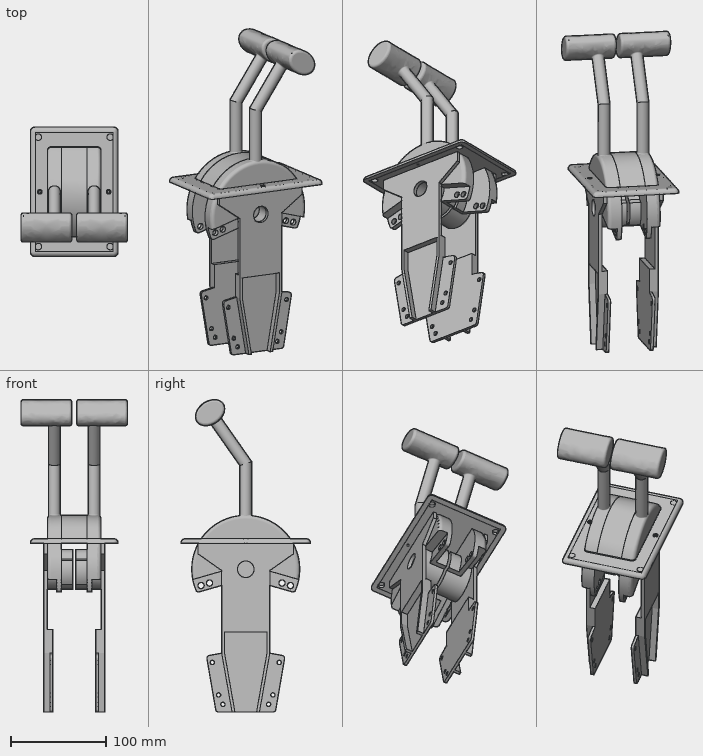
import cadquery as cq
import math

SIDES = (-1, 1)

rotor_radius = 56.8
rotor_inner = 13.5
rotor_outer = 28.2
rotor_edge_fillet = 4.0
flange_thickness = 5.0
sector_slope = math.radians(16)
sector_apex = 5.3
flange_apex = -10.0
lug_apex = 16.0
lug_radius = 26.0
flange_corner_fillet = 3.3
cable_hole_diameter = 6.2
cable_holes = [(47.0, -17.0), (38.0, -14.5)]
hub_radius = 21.0
hub_gap = 3.0
pivot_bore_diameter = 17.5

rod_radius = 6.4
rod_offset = (rotor_inner + rotor_outer) / 2
rod_start = 42.7
rod_base_fillet = 0.82
bend_height = 111.0
bend_angle = 35
grip_reach = 37.5
grip_major = 16.7
grip_minor = 12.0
grip_outer = 55.97
grip_length = 53.5
grip_edge_fillet = 2.5
grip_root_fillet = 1.3

plate_width = 92.2
plate_depth = 136.2
plate_thickness = 5.0
plate_top = 32.2
plate_bottom = plate_top - plate_thickness
plate_corner_radius = 5.0
plate_edge_fillet = 4.5
plate_skin = 1.0
plate_rim = 5.5
screw_x = 36.0
screw_diameter = 5.0

core_hole_diameter = 7.0
core_hole_x = 37.7
core_hole_y = 57.5
pilot_diameter = 2.3

bracket_outer = 32.2
yoke_half_width = 50.0
yoke_bottom = 16.0
neck_half_width = 25.3
neck_top = -1.3
bracket_bottom = -150.0

sheet = 3.0
foot_inner = 22.3
foot_top = -63.0
foot_bend = -88.0
foot_taper = math.radians(10)
ear_top_corner = (41.5, -91.0)
ear_bottom_half_width = 31.2
ear_fillet = 3.3
ear_hole_diameter = 4.3
ear_holes = [(35.0, -97.8), (28.5, -132.0), (24.0, -141.8)]


def slab(side, near, far, outline):
    """Extrude a YZ outline between two distances from the mid-plane, on one side."""
    plane = cq.Plane(origin=(side * near, 0, 0), xDir=(0, 1, 0), normal=(1, 0, 0))
    return outline(cq.Workplane(plane)).extrude(side * (far - near))


def symmetric_polygon(half_points):
    """Closed outline from the points of its +Y half, listed from top to bottom."""
    mirrored = [(-y, z) for y, z in reversed(half_points) if y > 0]
    return lambda plane: plane.polyline(half_points + mirrored).close()


def circles(points, diameter):
    """Outline made of equal circles."""
    return lambda plane: plane.pushPoints(points).circle(diameter / 2)


def disc(side, near, far, radius):
    """Round slab about the pivot axis."""
    return slab(side, near, far, circles([(0, 0)], 2 * radius))


def below(height):
    """Selector for what has its centre below a height."""
    reach = 2 * plate_depth
    return cq.selectors.BoxSelector((-reach, -reach, -reach), (reach, reach, height))


def both_ways(points):
    """The points together with their mirror images about Y = 0."""
    return points + [(-y, z) for y, z in points]


def sector(side, near, far, radius, low_apex, high_apex=2 * rotor_radius):
    """Disc slab kept between two chevrons whose arms slope down from their apex heights."""
    drop = radius * math.tan(sector_slope)
    chevron = [(0, high_apex), (radius, high_apex - drop), (radius, low_apex - drop), (0, low_apex)]
    return disc(side, near, far, radius).intersect(slab(side, near, far, symmetric_polygon(chevron)))


def make_rotor(side):
    """Sector disc with its flange, hub and hub lugs."""
    flange_face = rotor_inner + flange_thickness
    hub_end = hub_gap / 2

    outer_face = ">X" if side > 0 else "<X"
    rounded = disc(side, rotor_inner, rotor_outer, rotor_radius)
    rounded = rounded.faces(outer_face).edges().fillet(rotor_edge_fillet)
    rotor = rounded.intersect(sector(side, rotor_inner, rotor_outer, rotor_radius, sector_apex))

    flange = sector(side, rotor_inner, flange_face, rotor_radius, flange_apex)
    flange = flange.edges("|X").edges(below(flange_apex - 3.3)).fillet(flange_corner_fillet)
    holes = slab(side, rotor_inner, rotor_outer, circles(both_ways(cable_holes), cable_hole_diameter))
    rotor = rotor.union(flange).cut(holes)

    lugs = sector(side, hub_end, rotor_inner, lug_radius, flange_apex, lug_apex)
    hub = disc(side, hub_end, rotor_outer, hub_radius)
    bore = disc(side, rotor_inner, rotor_outer, pivot_bore_diameter / 2)
    return rotor.union(lugs).union(hub).cut(bore)


def box_around(centre, half_size):
    """Selector for what has its centre in a cube around a point."""
    low = [value - half_size for value in centre]
    high = [value + half_size for value in centre]
    return cq.selectors.BoxSelector(low, high)


def make_lever(side):
    """Rotor, bent rod and grip in one piece, blended where the rod meets the other two."""
    rod_x = side * rod_offset
    tilt = math.radians(bend_angle)
    grip_height = bend_height + grip_reach / math.tan(tilt)
    axis = [(0, rod_start), (0, bend_height), (-grip_reach, grip_height)]
    path = cq.Workplane("YZ", origin=(rod_x, 0, 0)).polyline(axis)
    rod_end = cq.Workplane("XY", origin=(rod_x, 0, rod_start)).circle(rod_radius)
    rod = rod_end.sweep(path, transition="right")

    grip_start = (side * (grip_outer - grip_length), -grip_reach, grip_height)
    grip_plane = cq.Plane(origin=grip_start, xDir=(0, 1, 0), normal=(1, 0, 0)).rotated((0, 0, bend_angle))
    grip = cq.Workplane(grip_plane).ellipse(grip_major, grip_minor).extrude(side * grip_length)
    grip = grip.faces("<X or >X").edges().fillet(grip_edge_fillet)

    lever = make_rotor(side).union(rod).union(grip)
    grip_root = (
        rod_x,
        -grip_reach + grip_minor * math.sin(tilt),
        grip_height - grip_minor * math.cos(tilt),
    )
    lever = lever.edges(box_around(grip_root, rod_radius)).fillet(grip_root_fillet)
    return lever.edges(box_around((rod_x, 0, rotor_radius), rod_radius)).fillet(rod_base_fillet)


def tray_hollow():
    """The space under the bezel's skin, inside its rim."""
    underside = cq.Workplane("XY", origin=(0, 0, plate_bottom))
    hollow = underside.rect(plate_width - 2 * plate_rim, plate_depth - 2 * plate_rim)
    return hollow.extrude(plate_thickness - plate_skin)


def screw_holes(diameter):
    """Cylinders that cut one screw hole on each side of the plate."""
    points = [(side * screw_x, 0) for side in SIDES]
    underside = cq.Workplane("XY", origin=(0, 0, plate_bottom))
    return underside.pushPoints(points).circle(diameter / 2).extrude(plate_thickness)


def make_bezel(core, levers):
    """Tray with rounded edges, opened to fit closely around the levers and the dome."""
    bezel = (
        cq.Workplane("XY", origin=(0, 0, plate_bottom))
        .rect(plate_width, plate_depth)
        .extrude(plate_thickness)
        .edges("|Z")
        .fillet(plate_corner_radius)
        .faces(">Z")
        .edges()
        .fillet(plate_edge_fillet)
    )
    bezel = bezel.cut(tray_hollow()).cut(screw_holes(screw_diameter)).cut(core)
    for lever in levers:
        bezel = bezel.cut(lever)
    return bezel


def make_core(levers):
    """Plate inside the bezel, with the dome that closes the gap between the levers."""
    half_width = math.sqrt(rotor_radius**2 - plate_bottom**2)
    dome = (
        cq.Workplane("YZ", origin=(-rotor_inner, 0, 0))
        .moveTo(-half_width, plate_bottom)
        .threePointArc((0, rotor_radius), (half_width, plate_bottom))
        .close()
        .extrude(2 * rotor_inner)
    )
    corner_holes = (
        cq.Workplane("XY", origin=(0, 0, plate_bottom))
        .rect(2 * core_hole_x, 2 * core_hole_y, forConstruction=True)
        .vertices()
        .circle(core_hole_diameter / 2)
        .extrude(plate_thickness)
    )
    core = tray_hollow().cut(corner_holes).cut(screw_holes(pilot_diameter)).union(dome)
    for lever in levers:
        core = core.cut(lever)
    return core


def foot_outline(inset, top):
    """Tapered foot outline, moved inwards by a wall thickness."""
    half_width = neck_half_width - inset
    narrowing = (foot_bend - bracket_bottom) * math.tan(foot_taper)
    bottom_half_width = neck_half_width - inset / math.cos(foot_taper) - narrowing
    bend = foot_bend + inset * math.tan(foot_taper / 2)
    return symmetric_polygon([(half_width, top), (half_width, bend), (bottom_half_width, bracket_bottom)])


def make_bracket(side):
    """Flat panel with a yoke at the top and an offset foot with two ears at the bottom."""
    panel = slab(
        side,
        rotor_outer,
        bracket_outer,
        symmetric_polygon(
            [
                (yoke_half_width, plate_bottom),
                (yoke_half_width, yoke_bottom),
                (neck_half_width, neck_top),
                (neck_half_width, foot_top),
            ]
        ),
    )
    panel = panel.cut(disc(side, rotor_outer, bracket_outer, pivot_bore_diameter / 2))

    foot = slab(side, foot_inner, bracket_outer, foot_outline(0, foot_top))
    foot = foot.cut(slab(side, foot_inner + sheet, bracket_outer, foot_outline(sheet, foot_top - sheet)))

    ears = slab(
        side,
        foot_inner,
        foot_inner + sheet,
        symmetric_polygon(
            [(neck_half_width, foot_bend), ear_top_corner, (ear_bottom_half_width, bracket_bottom)]
        ),
    )
    ears = ears.edges("|X").edges(below(foot_bend - sheet / 2)).fillet(ear_fillet)
    holes = slab(side, foot_inner, foot_inner + sheet, circles(both_ways(ear_holes), ear_hole_diameter))
    ears = ears.cut(holes)
    return panel.union(foot).union(ears)


levers = [make_lever(side) for side in SIDES]
brackets = [make_bracket(side) for side in SIDES]
core = make_core(levers)
bezel = make_bezel(core, levers)

bodies = [bezel, core, *brackets, *levers]
result = cq.Compound.makeCompound([body.solids().val() for body in bodies])